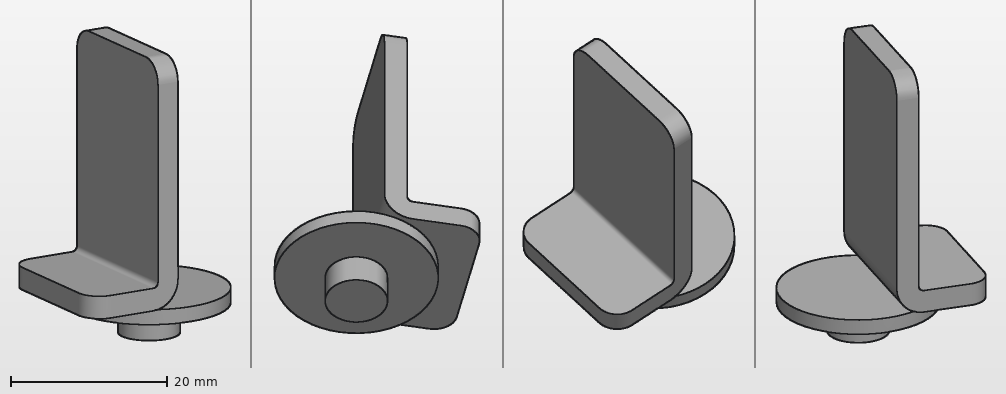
import cadquery as cq

disk_diameter = 21.0
disk_thickness = 2.0
peg_diameter = 8.0
peg_length = 4.0

bracket_width = 20.0
sheet_thickness = 3.0
upright_height = 33.0
foot_length = 13.0
inner_bend_radius = 0.7
outer_bend_radius = inner_bend_radius + sheet_thickness
corner_radius = 3.0

bracket_center_x = -0.3
bracket_back_y = -1.56
bracket_base_z = peg_length + disk_thickness


def make_base():
    """Peg from Z = 0 upward, carrying the disk."""
    peg = cq.Workplane("XY").circle(peg_diameter / 2).extrude(peg_length)
    disk = (
        cq.Workplane("XY")
        .workplane(offset=peg_length)
        .circle(disk_diameter / 2)
        .extrude(disk_thickness)
    )
    return peg.union(disk)


def make_bracket():
    """L-shaped sheet: upright along +Z, foot along -Y, with rounded free corners."""
    upright_front_y = bracket_back_y - sheet_thickness
    foot_end_y = bracket_back_y - foot_length
    foot_top_z = bracket_base_z + sheet_thickness
    upright_top_z = bracket_base_z + upright_height
    bend_center_y = bracket_back_y - outer_bend_radius
    bend_center_z = bracket_base_z + outer_bend_radius

    bracket = (
        cq.Workplane("YZ")
        .workplane(offset=bracket_center_x - bracket_width / 2)
        .moveTo(bracket_back_y, upright_top_z)
        .lineTo(bracket_back_y, bend_center_z)
        .radiusArc((bend_center_y, bracket_base_z), outer_bend_radius)
        .lineTo(foot_end_y, bracket_base_z)
        .lineTo(foot_end_y, foot_top_z)
        .lineTo(bend_center_y, foot_top_z)
        .radiusArc((upright_front_y, bend_center_z), -inner_bend_radius)
        .lineTo(upright_front_y, upright_top_z)
        .close()
        .extrude(bracket_width)
    )
    bracket = bracket.faces(">Z").edges("|Y").fillet(corner_radius)
    return bracket.faces("<Y").edges("|Z").fillet(corner_radius)


result = make_base().union(make_bracket())